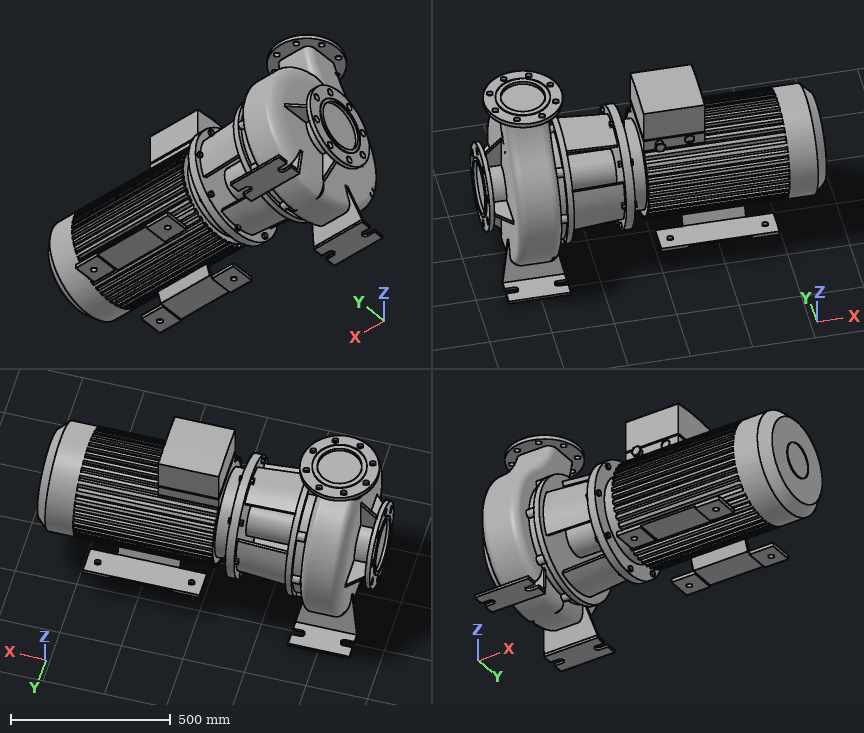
import cadquery as cq
import math


CASING_HALF_WIDTH = 70
CASING_RADIUS = 250
CASING_FACE_RADIUS = 188
CASING_ROUNDING_DEPTH = 30
ROUND_SIDE_ANGLE = 200
CASING_EDGE_FILLET = 27
SPIRAL_SIDE = (-271, 0)
SPIRAL_END = (-171.6, 205)
TONGUE_MIDDLE = (49, 267)
TONGUE_ROOT = (-50, 160)
NECK_HALF_WIDTH = 70

DISCHARGE_HEIGHT = 355
DISCHARGE_FLANGE_DIAMETER = 250
DISCHARGE_BOLT_CIRCLE = 210
DISCHARGE_HOLE = 19
DISCHARGE_FACE_DIAMETER = 172
DISCHARGE_BORE = 139.7

SUCTION_FACE_X = -140
SUCTION_FLANGE_DIAMETER = 285
SUCTION_BOLT_CIRCLE = 240
SUCTION_HOLE = 23
SUCTION_FACE_DIAMETER = 191
SUCTION_BORE = 168.3
SUCTION_RIB_THICKNESS = 10
SUCTION_RIB_RADIUS = 135.5

FLANGE_THICKNESS = 18
FLANGE_FACE_STEP = 3
FLANGE_HOLE_COUNT = 8
PORT_DEPTH = 10

COVER_NECK_DIAMETER = 400
COVER_FLANGE_DIAMETER = 430
COVER_FLANGE_X = 98
COVER_BACK_X = 118
COVER_BOSS_DIAMETER = 30
COVER_BOSS_COUNT = 8

SHAFT_HEIGHT = 280
FOOT_LENGTH = 200
FOOT_THICKNESS = 10
FOOT_INNER_Y = 150
FOOT_OUTER_Y = 250
FOOT_SLOT_Y = 200
FOOT_SLOT_WIDTH = 23
FOOT_SLOT_CENTRE = 30
LEG_TOP_Y = 109
LEG_TOP_Z = -141
LEG_THICKNESS = 10.5
LEG_TOP_HALF_LENGTH = 72

LANTERN_START_RADIUS = 190.5
LANTERN_END_RADIUS = 177.5
LANTERN_WALL = 16
LANTERN_ARM_ANGLE = 50
LANTERN_ARM_COUNT = 4
LANTERN_FLANGE_X = 288
LANTERN_FLANGE_DIAMETER = 400
SHAFT_HOUSING_DIAMETER = 120

MOTOR_FRONT_X = 317
MOTOR_NECK_DIAMETER = 291
MOTOR_DIAMETER = 356
MOTOR_CORE_DIAMETER = 334
FINS_START_X = 366
FINS_END_X = 818
FAN_COVER_TAPER_X = 909
FAN_COVER_END_X = 943
FAN_CAP_DIAMETER = 120
FAN_CAP_HEIGHT = 3
FIN_PITCH = 22.6
FIN_THICKNESS = 10
FINS_EACH_SIDE = 5

MOTOR_FOOT_CENTRE_X = 590
MOTOR_FOOT_LENGTH = 380
MOTOR_FOOT_BOTTOM_Z = -200
MOTOR_FOOT_TOP_Z = -186
MOTOR_FOOT_OUTER_Y = 202
MOTOR_FOOT_INNER_Y = 113
PEDESTAL_LENGTH = 203
PEDESTAL_TOP_Y = 87
PEDESTAL_TOP_Z = -130
PEDESTAL_WALL = 10
MOTOR_FOOT_RELIEF = 6
MOTOR_FOOT_HOLE = 19
MOTOR_FOOT_HOLE_SPACING_X = 305
MOTOR_FOOT_HOLE_Y = 159

BOX_LENGTH = 197
BOX_HALF_WIDTH = 98
BOX_BOTTOM_Z = 138
BOX_LID_Z = 181
BOX_LID_GAP = 3
BOX_LID_GAP_DEPTH = 2
BOX_EDGE_Z = 297
BOX_CROWN_Z = 303
CABLE_ENTRY_Z = 161
CABLE_ENTRY_DIAMETER = 30
CABLE_ENTRY_DEPTH = 3
CABLE_ENTRY_X = 514
GLAND_X = 416.5
GLAND_NECK_DIAMETER = 26
GLAND_NECK_LENGTH = 14
GLAND_HEAD_THICKNESS = 5

BOLT_COUNT = 8
BOLT_CIRCLE = 366
BOLT_DIAMETER = 10
BOLT_HEX_WIDTH = 17
BOLT_HEAD_LENGTH = 9
BOLT_NUT_LENGTH = 7


def box(x0, x1, y0, y1, z0, z1):
    """Block between the given limits."""
    return cq.Workplane("XY").box(x1 - x0, y1 - y0, z1 - z0, centered=False).translate((x0, y0, z0))


def disc(x0, x1, diameter):
    """Cylinder on the shaft axis."""
    return cq.Workplane("YZ", origin=(x0, 0, 0)).circle(diameter / 2).extrude(x1 - x0)


def axial_ring(x0, x1, circle, count, diameter, first_angle=0):
    """Ring of cylinders parallel to the shaft axis."""
    return (
        cq.Workplane("YZ", origin=(x0, 0, 0))
        .polarArray(circle / 2, first_angle, 360, count)
        .circle(diameter / 2)
        .extrude(x1 - x0)
    )


def hexagon_diameter(width):
    """Diameter over the corners of a hexagon of the given width across flats."""
    return width / math.cos(math.pi / 6)




def build_volute():
    """Widening right side with the discharge neck, joined to the round left side."""
    neck_top = DISCHARGE_HEIGHT - FLANGE_THICKNESS
    spiral = (
        cq.Workplane("YZ", origin=(-CASING_HALF_WIDTH, 0, 0))
        .moveTo(0, -CASING_RADIUS)
        .threePointArc(SPIRAL_SIDE, SPIRAL_END)
        .tangentArcPoint((-NECK_HALF_WIDTH, neck_top), relative=False)
        .lineTo(NECK_HALF_WIDTH, neck_top)
        .threePointArc(TONGUE_MIDDLE, TONGUE_ROOT)
        .lineTo(0, 0)
        .close()
        .extrude(2 * CASING_HALF_WIDTH)
    )
    spiral = spiral.faces("<X or >X").edges("%CIRCLE").fillet(CASING_EDGE_FILLET)

    crown = CASING_HALF_WIDTH - CASING_ROUNDING_DEPTH
    rise = CASING_RADIUS - CASING_FACE_RADIUS
    round_side = (
        cq.Workplane("XZ")
        .moveTo(-CASING_HALF_WIDTH, 0)
        .lineTo(-CASING_HALF_WIDTH, -CASING_FACE_RADIUS)
        .ellipseArc(CASING_ROUNDING_DEPTH, rise, 180, 270, startAtCurrent=True)
        .lineTo(crown, -CASING_RADIUS)
        .ellipseArc(CASING_ROUNDING_DEPTH, rise, 270, 360, startAtCurrent=True)
        .lineTo(CASING_HALF_WIDTH, 0)
        .close()
        .revolve(ROUND_SIDE_ANGLE, (0, 0, 0), (1, 0, 0))
    )
    return spiral.union(round_side)


def build_discharge_flange():
    base = DISCHARGE_HEIGHT - FLANGE_THICKNESS
    flange = (
        cq.Workplane("XY", origin=(0, 0, base))
        .circle(DISCHARGE_FLANGE_DIAMETER / 2)
        .extrude(FLANGE_THICKNESS - FLANGE_FACE_STEP)
        .faces(">Z")
        .workplane()
        .circle(DISCHARGE_FACE_DIAMETER / 2)
        .extrude(FLANGE_FACE_STEP)
    )
    holes = (
        cq.Workplane("XY", origin=(0, 0, base))
        .polarArray(DISCHARGE_BOLT_CIRCLE / 2, 180 / FLANGE_HOLE_COUNT, 360, FLANGE_HOLE_COUNT)
        .circle(DISCHARGE_HOLE / 2)
        .extrude(FLANGE_THICKNESS)
    )
    port = (
        cq.Workplane("XY", origin=(0, 0, DISCHARGE_HEIGHT))
        .circle(DISCHARGE_BORE / 2)
        .extrude(-PORT_DEPTH)
    )
    return flange.cut(holes).cut(port)


def build_suction_nozzle():
    """Flange, short pipe and four tapered ribs in front of the casing."""
    back_x = SUCTION_FACE_X + FLANGE_THICKNESS
    step_x = SUCTION_FACE_X + FLANGE_FACE_STEP
    nozzle = disc(step_x, back_x, SUCTION_FLANGE_DIAMETER)
    nozzle = nozzle.union(disc(SUCTION_FACE_X, step_x, SUCTION_FACE_DIAMETER))
    nozzle = nozzle.cut(
        axial_ring(
            SUCTION_FACE_X,
            back_x,
            SUCTION_BOLT_CIRCLE,
            FLANGE_HOLE_COUNT,
            SUCTION_HOLE,
            180 / FLANGE_HOLE_COUNT,
        )
    )
    nozzle = nozzle.union(disc(back_x, -CASING_HALF_WIDTH, SUCTION_BORE))
    rib = (
        cq.Workplane("XZ")
        .moveTo(back_x, 0)
        .lineTo(back_x, SUCTION_RIB_RADIUS)
        .lineTo(-CASING_HALF_WIDTH, CASING_FACE_RADIUS)
        .lineTo(-CASING_HALF_WIDTH, 0)
        .close()
        .extrude(SUCTION_RIB_THICKNESS / 2, both=True)
    )
    for quarter in range(4):
        nozzle = nozzle.union(rib.rotate((0, 0, 0), (1, 0, 0), 90 * quarter))
    return nozzle.cut(disc(SUCTION_FACE_X, SUCTION_FACE_X + PORT_DEPTH, SUCTION_BORE))


def build_cover():
    cover = disc(CASING_HALF_WIDTH, COVER_FLANGE_X, COVER_NECK_DIAMETER)
    bosses = axial_ring(
        CASING_HALF_WIDTH, COVER_FLANGE_X, COVER_NECK_DIAMETER, COVER_BOSS_COUNT, COVER_BOSS_DIAMETER
    )
    return cover.union(bosses).union(disc(COVER_FLANGE_X, COVER_BACK_X, COVER_FLANGE_DIAMETER))


def build_pump_foot():
    """Slotted base plate with a leaning leg, on the +Y side."""
    bottom = -SHAFT_HEIGHT
    top = bottom + FOOT_THICKNESS
    half = FOOT_LENGTH / 2
    foot = box(-half, half, FOOT_INNER_Y, FOOT_OUTER_Y, bottom, top)
    for side in (-1, 1):
        slot = (
            cq.Workplane("XY", origin=(side * half, FOOT_SLOT_Y, bottom))
            .slot2D(2 * FOOT_SLOT_CENTRE + FOOT_SLOT_WIDTH, FOOT_SLOT_WIDTH)
            .extrude(FOOT_THICKNESS)
        )
        foot = foot.cut(slot)
    leg = (
        cq.Workplane("YZ", origin=(-half, 0, 0))
        .moveTo(FOOT_INNER_Y, top)
        .lineTo(FOOT_INNER_Y + LEG_THICKNESS, top)
        .lineTo(LEG_TOP_Y + LEG_THICKNESS / 2, LEG_TOP_Z)
        .lineTo(LEG_TOP_Y - LEG_THICKNESS / 2, LEG_TOP_Z)
        .close()
        .extrude(FOOT_LENGTH)
    )
    leg_outline = (
        cq.Workplane("XZ")
        .moveTo(-half, top)
        .lineTo(half, top)
        .lineTo(LEG_TOP_HALF_LENGTH, LEG_TOP_Z)
        .lineTo(-LEG_TOP_HALF_LENGTH, LEG_TOP_Z)
        .close()
        .extrude(-FOOT_OUTER_Y)
    )
    return foot.union(leg.intersect(leg_outline))


def build_lantern():
    """Four curved arms, the shaft housing and the motor mounting flange."""
    arm = (
        cq.Workplane("XZ")
        .moveTo(COVER_BACK_X, LANTERN_START_RADIUS - LANTERN_WALL)
        .lineTo(COVER_BACK_X, LANTERN_START_RADIUS)
        .lineTo(LANTERN_FLANGE_X, LANTERN_END_RADIUS)
        .lineTo(LANTERN_FLANGE_X, LANTERN_END_RADIUS - LANTERN_WALL)
        .close()
        .revolve(LANTERN_ARM_ANGLE, (0, 0, 0), (1, 0, 0))
        .rotate((0, 0, 0), (1, 0, 0), -LANTERN_ARM_ANGLE / 2)
    )
    lantern = disc(COVER_BACK_X, LANTERN_FLANGE_X, SHAFT_HOUSING_DIAMETER)
    for number in range(LANTERN_ARM_COUNT):
        lantern = lantern.union(arm.rotate((0, 0, 0), (1, 0, 0), number * 360 / LANTERN_ARM_COUNT))
    flange = disc(LANTERN_FLANGE_X, MOTOR_FRONT_X, LANTERN_FLANGE_DIAMETER)
    bolt_holes = axial_ring(LANTERN_FLANGE_X, MOTOR_FRONT_X, BOLT_CIRCLE, BOLT_COUNT, BOLT_DIAMETER)
    return lantern.union(flange.cut(bolt_holes))


def build_pump():
    pump = build_volute().union(build_discharge_flange()).union(build_suction_nozzle())
    pump = pump.union(build_cover()).union(build_lantern())
    foot = build_pump_foot()
    return pump.union(foot).union(foot.mirror("XZ"))




def build_motor_frame():
    """Turned body with straight cooling fins on its four sides."""
    outline = disc(FINS_START_X, FINS_END_X, MOTOR_DIAMETER)
    reach = MOTOR_DIAMETER / 2
    half = FIN_THICKNESS / 2
    fins = disc(FINS_START_X, FINS_END_X, MOTOR_CORE_DIAMETER)
    for number in range(-FINS_EACH_SIDE, FINS_EACH_SIDE + 1):
        place = number * FIN_PITCH
        upright_fin = box(FINS_START_X, FINS_END_X, place - half, place + half, -reach, reach)
        level_fin = box(FINS_START_X, FINS_END_X, -reach, reach, place - half, place + half)
        fins = fins.union(upright_fin).union(level_fin)
    frame = fins.intersect(outline)

    neck = disc(MOTOR_FRONT_X, FINS_START_X, MOTOR_NECK_DIAMETER)
    fan_cover = disc(FINS_END_X, FAN_COVER_TAPER_X, MOTOR_DIAMETER)
    taper = (
        cq.Workplane("YZ", origin=(FAN_COVER_TAPER_X, 0, 0))
        .circle(MOTOR_DIAMETER / 2)
        .workplane(offset=FAN_COVER_END_X - FAN_COVER_TAPER_X)
        .circle(MOTOR_NECK_DIAMETER / 2)
        .loft(ruled=True)
    )
    cap = disc(FAN_COVER_END_X, FAN_COVER_END_X + FAN_CAP_HEIGHT, FAN_CAP_DIAMETER)
    return frame.union(neck).union(fan_cover).union(taper).union(cap)


def build_motor_foot():
    """Foot plate with deeper end pads and a leaning wall up to the frame, on the +Y side."""
    x0 = MOTOR_FOOT_CENTRE_X - MOTOR_FOOT_LENGTH / 2
    x1 = MOTOR_FOOT_CENTRE_X + MOTOR_FOOT_LENGTH / 2
    pedestal_x0 = MOTOR_FOOT_CENTRE_X - PEDESTAL_LENGTH / 2
    pedestal_x1 = MOTOR_FOOT_CENTRE_X + PEDESTAL_LENGTH / 2
    relief_top = MOTOR_FOOT_BOTTOM_Z + MOTOR_FOOT_RELIEF
    plate = box(x0, x1, MOTOR_FOOT_INNER_Y, MOTOR_FOOT_OUTER_Y, MOTOR_FOOT_BOTTOM_Z, MOTOR_FOOT_TOP_Z)
    relief = box(
        pedestal_x0, pedestal_x1, MOTOR_FOOT_INNER_Y, MOTOR_FOOT_OUTER_Y, MOTOR_FOOT_BOTTOM_Z, relief_top
    )
    holes = (
        cq.Workplane("XY", origin=(MOTOR_FOOT_CENTRE_X, MOTOR_FOOT_HOLE_Y, MOTOR_FOOT_BOTTOM_Z))
        .pushPoints([(-MOTOR_FOOT_HOLE_SPACING_X / 2, 0), (MOTOR_FOOT_HOLE_SPACING_X / 2, 0)])
        .circle(MOTOR_FOOT_HOLE / 2)
        .extrude(MOTOR_FOOT_TOP_Z - MOTOR_FOOT_BOTTOM_Z)
    )
    plate = plate.cut(relief).cut(holes)
    wall = (
        cq.Workplane("YZ", origin=(pedestal_x0, 0, 0))
        .moveTo(MOTOR_FOOT_INNER_Y, relief_top)
        .lineTo(MOTOR_FOOT_INNER_Y, MOTOR_FOOT_TOP_Z)
        .lineTo(PEDESTAL_TOP_Y, PEDESTAL_TOP_Z)
        .lineTo(PEDESTAL_TOP_Y - PEDESTAL_WALL, PEDESTAL_TOP_Z)
        .lineTo(MOTOR_FOOT_INNER_Y - PEDESTAL_WALL, relief_top)
        .close()
        .extrude(PEDESTAL_LENGTH)
    )
    return plate.union(wall)


def build_terminal_box():
    """Crowned box with a lid joint, one open cable entry and one cable gland."""
    x1 = FINS_START_X + BOX_LENGTH
    terminal_box = (
        cq.Workplane("YZ", origin=(FINS_START_X, 0, 0))
        .moveTo(-BOX_HALF_WIDTH, 0)
        .lineTo(-BOX_HALF_WIDTH, BOX_EDGE_Z)
        .threePointArc((0, BOX_CROWN_Z), (BOX_HALF_WIDTH, BOX_EDGE_Z))
        .lineTo(BOX_HALF_WIDTH, 0)
        .close()
        .extrude(BOX_LENGTH)
    )
    below = box(FINS_START_X, x1, -BOX_HALF_WIDTH, BOX_HALF_WIDTH, 0, BOX_BOTTOM_Z)
    terminal_box = terminal_box.cut(below)
    half = BOX_HALF_WIDTH
    core_half = half - BOX_LID_GAP_DEPTH
    gap_top = BOX_LID_Z + BOX_LID_GAP
    lid_gap = box(FINS_START_X, x1, -half, half, BOX_LID_Z, gap_top).cut(
        box(
            FINS_START_X + BOX_LID_GAP_DEPTH,
            x1 - BOX_LID_GAP_DEPTH,
            -core_half,
            core_half,
            BOX_LID_Z,
            gap_top,
        )
    )
    entry = (
        cq.Workplane("XZ", origin=(CABLE_ENTRY_X, -BOX_HALF_WIDTH, CABLE_ENTRY_Z))
        .circle(CABLE_ENTRY_DIAMETER / 2)
        .extrude(-CABLE_ENTRY_DEPTH)
    )
    gland = (
        cq.Workplane("XZ", origin=(GLAND_X, -BOX_HALF_WIDTH, CABLE_ENTRY_Z))
        .circle(GLAND_NECK_DIAMETER / 2)
        .extrude(GLAND_NECK_LENGTH)
        .faces("<Y")
        .workplane()
        .polygon(6, hexagon_diameter(CABLE_ENTRY_DIAMETER))
        .extrude(GLAND_HEAD_THICKNESS)
    )
    return terminal_box.cut(lid_gap).cut(entry).union(gland)


def build_motor():
    foot = build_motor_foot()
    motor = build_motor_frame().union(foot).union(foot.mirror("XZ"))
    return motor.union(build_terminal_box())




def build_bolt(number):
    """Hexagon bolt with its nut, through the lantern flange."""
    corner = hexagon_diameter(BOLT_HEX_WIDTH)
    head_x = LANTERN_FLANGE_X - BOLT_HEAD_LENGTH
    bolt = disc(LANTERN_FLANGE_X, MOTOR_FRONT_X, BOLT_DIAMETER)
    head = cq.Workplane("YZ", origin=(head_x, 0, 0)).polygon(6, corner).extrude(BOLT_HEAD_LENGTH)
    nut = cq.Workplane("YZ", origin=(MOTOR_FRONT_X, 0, 0)).polygon(6, corner).extrude(BOLT_NUT_LENGTH)
    bolt = bolt.union(head).union(nut).translate((0, BOLT_CIRCLE / 2, 0))
    return bolt.rotate((0, 0, 0), (1, 0, 0), number * 360 / BOLT_COUNT)


pump = build_pump()
motor = build_motor()
bolts = [build_bolt(number) for number in range(BOLT_COUNT)]

result = cq.Compound.makeCompound([pump.val(), motor.val(), *[bolt.val() for bolt in bolts]])